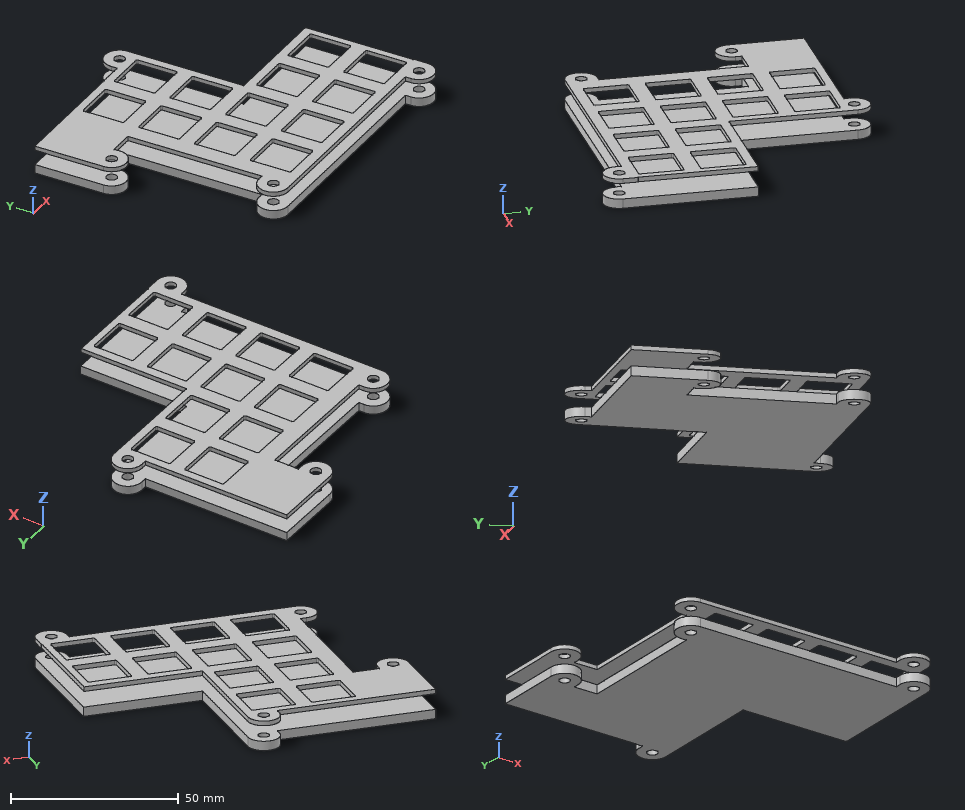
import cadquery as cq

base_thickness = 3.0
gap = 5.0
cover_thickness = 1.5

total_length = 98.3
total_width = 91.5
tab_radius = 5.0
tab_hole_diameter = 3.4
front_edge_y = 6.9
back_edge_y = 84.5
arm_front_y = 62.8
column_left_x = 18.4
column_right_x = 60.5
wing_back_y = 46.7
cover_wing_relief = 0.2
cover_relief_front_y = 9.7
front_left_tab_x = 16.5
left_tab_y = 60.9

left_tab = (tab_radius, left_tab_y)
front_left_tab = (front_left_tab_x, front_edge_y + tab_radius)
front_right_tab = (total_length - tab_radius, tab_radius)
back_tab = (column_right_x - tab_radius, total_width - tab_radius)
tab_centres = [left_tab, front_left_tab, front_right_tab, back_tab]

window_size = 14.0
window_pitch = 19.1
window_corner_radius = 0.5
window_side_margin = 2.95
window_back_margin = 2.8
column_count = 4
row_count = 4
tall_column_count = 2
short_column_rows = 2
last_tall_window_x = column_right_x - window_side_margin - window_size / 2
first_window_x = last_tall_window_x - (tall_column_count - 1) * window_pitch
back_window_y = back_edge_y - window_back_margin - window_size / 2
first_window_y = back_window_y - (row_count - 1) * window_pitch


def make_plate(bottom_z, thickness):
    """Stepped plate with four rounded screw tabs, each with a through hole."""
    outline = (
        cq.Workplane("XY", origin=(0, 0, bottom_z))
        .moveTo(0, back_edge_y)
        .lineTo(0, left_tab_y)
        .threePointArc((tab_radius, left_tab_y - tab_radius), (2 * tab_radius, left_tab_y))
        .lineTo(2 * tab_radius, arm_front_y)
        .lineTo(column_left_x, arm_front_y)
        .lineTo(column_left_x, front_edge_y + 2 * tab_radius)
        .lineTo(front_left_tab_x, front_edge_y + 2 * tab_radius)
        .threePointArc(
            (front_left_tab_x - tab_radius, front_left_tab[1]),
            (front_left_tab_x, front_edge_y),
        )
        .lineTo(total_length - 2 * tab_radius, front_edge_y)
        .lineTo(total_length - 2 * tab_radius, front_right_tab[1])
        .threePointArc((front_right_tab[0], 0), (total_length, front_right_tab[1]))
        .lineTo(total_length, wing_back_y)
        .lineTo(column_right_x, wing_back_y)
        .lineTo(column_right_x, back_tab[1])
        .threePointArc((back_tab[0], total_width), (column_right_x - 2 * tab_radius, back_tab[1]))
        .lineTo(column_right_x - 2 * tab_radius, back_edge_y)
        .close()
    )
    plate = outline.extrude(thickness)
    return plate.faces(">Z").workplane(origin=(0, 0, 0)).pushPoints(tab_centres).hole(tab_hole_diameter)


def window_centres():
    """Centres of the windows: two full columns and two short ones."""
    centres = []
    for column in range(column_count):
        rows = row_count if column < tall_column_count else short_column_rows
        for row in range(rows):
            centres.append((first_window_x + column * window_pitch, first_window_y + row * window_pitch))
    return centres


def make_cover(bottom_z):
    """Thin plate with a grid of square windows and a slightly narrower wing."""
    windows = (
        cq.Workplane("XY", origin=(0, 0, bottom_z))
        .pushPoints(window_centres())
        .rect(window_size, window_size)
        .extrude(cover_thickness)
        .edges("|Z")
        .fillet(window_corner_radius)
    )
    relief = (
        cq.Workplane("XY", origin=(total_length - cover_wing_relief, cover_relief_front_y, bottom_z))
        .rect(cover_wing_relief, wing_back_y - cover_relief_front_y, centered=False)
        .extrude(cover_thickness)
    )
    return make_plate(bottom_z, cover_thickness).cut(windows).cut(relief)


base = make_plate(0, base_thickness)
cover = make_cover(base_thickness + gap)

result = cq.Compound.makeCompound([base.val(), cover.val()])